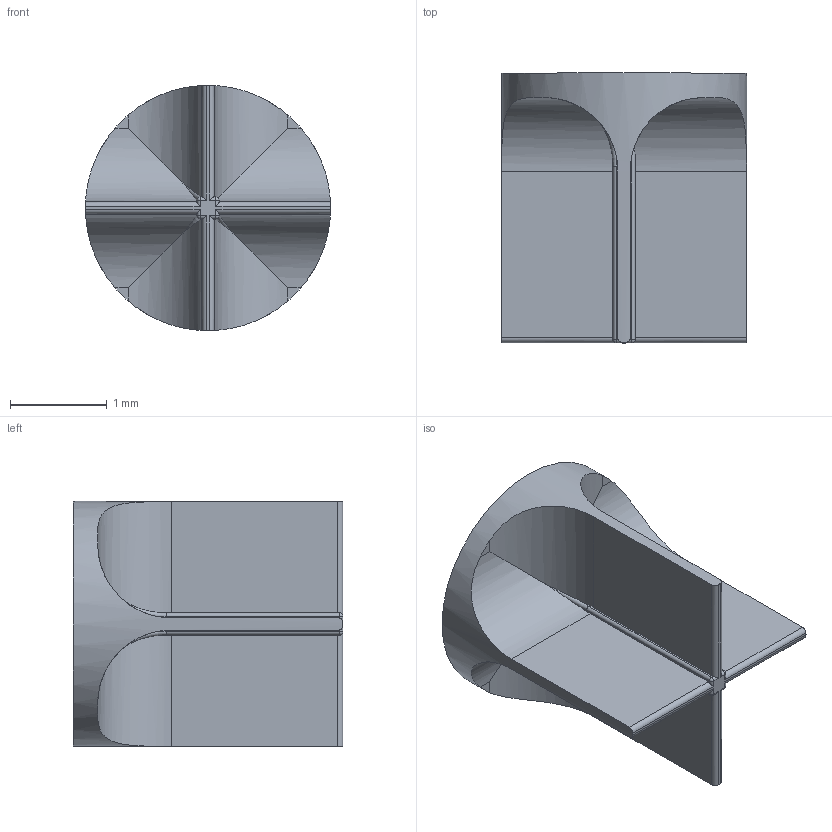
import cadquery as cq
import math

diameter = 2.54
length = 2.794
base_thickness = 0.254
fin_thickness = 0.127
tip_radius = 0.0508
root_radius = 0.762
hub_projection = 0.0508
blend_reach = 0.27

radius = diameter / 2
half_fin = fin_thickness / 2
hub_width = fin_thickness + 2 * hub_projection
hub_radius = fin_thickness / 4
floor_y = length - base_thickness
root_start_y = floor_y - root_radius
root_center = half_fin + root_radius

pocket_numbers = range(4)
blended_pockets = (1, 2, 3)


def turned(shape, quarter_turns):
    """Rotate a shape about the axis of the part."""
    return shape.rotate((0, 0, 0), (0, 1, 0), 90 * quarter_turns)


def square_bar(width, height, start, end):
    """Bar along Y, centred on the axis of the part."""
    return cq.Workplane("XZ", origin=(0, start, 0)).rect(width, height).extrude(start - end)


def pocket():
    """Space between two fins, with a floor that curves up into both fin faces."""
    space = (
        cq.Workplane("XZ")
        .moveTo(half_fin, half_fin)
        .rect(diameter, diameter, centered=False)
        .extrude(-floor_y)
    )
    floor = space.faces(">Y")
    root_edges = floor.edges("<X").add(floor.edges("<Z"))
    return root_edges.fillet(root_radius)


def root_blend():
    """Round bar that bends a long edge of the hub outward until it merges into the curved roots.

    It is built in the diagonal plane between two fins: "out" is the distance from the axis of
    the part, and the bend angle is the slope there of the line where two roots meet.
    """
    root_angle = math.acos((root_center - blend_reach) / root_radius)
    bend_angle = math.atan(math.sqrt(2) * math.tan(root_angle))
    bar_center_out = math.sqrt(2) * (hub_width / 2 - hub_radius)
    bend_radius = (math.sqrt(2) * blend_reach - bar_center_out - hub_radius) / (1 - math.cos(bend_angle))
    merge_y = root_start_y + root_radius * math.sin(root_angle)
    bend_start_y = merge_y - bend_radius * math.sin(bend_angle)
    axis_out = bar_center_out + hub_radius + bend_radius

    diagonal = cq.Plane(origin=(0, bend_start_y, 0), xDir=(1, 0, 1), normal=(-1, 0, 1))
    bar_end = cq.Workplane(diagonal).transformed(rotate=(-90, 0, 0)).center(bar_center_out, 0)
    return bar_end.circle(hub_radius).revolve(
        math.degrees(bend_angle),
        (axis_out - bar_center_out, 0),
        (axis_out - bar_center_out, 1),
    )


def rounded_fin():
    """Full-width fin with both long edges of its tip rounded."""
    fin = square_bar(diameter, fin_thickness, 0, length)
    return fin.edges("|X and <Y").fillet(tip_radius)


def hub():
    """Square core along the axis, rounded on its long edges and around its front face."""
    core = square_bar(hub_width, hub_width, 0, length)
    return core.edges("|Y or <Y").fillet(hub_radius)


body = cq.Workplane("XZ").circle(radius).extrude(-length)
for number in pocket_numbers:
    body = body.cut(turned(pocket(), number))

tip_zone = square_bar(diameter, diameter, 0, tip_radius)
crossed_fins = rounded_fin().union(turned(rounded_fin(), 1))
body = body.cut(tip_zone.cut(crossed_fins))

body = body.union(hub())
for number in blended_pockets:
    body = body.union(turned(root_blend(), number))

result = body